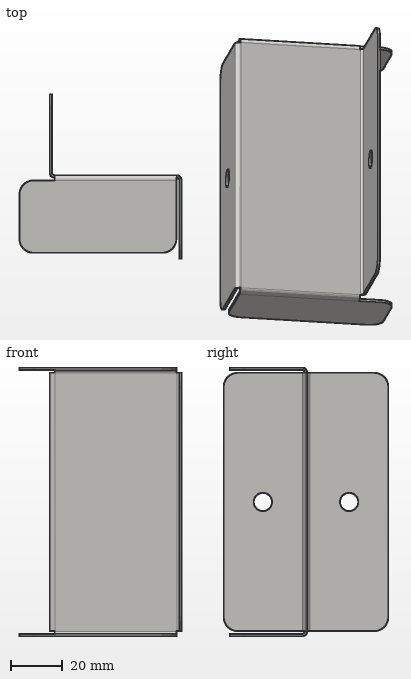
import cadquery as cq

sheet = 1.0
inner_radius = 1.0
outer_radius = inner_radius + sheet

overall_x = 62.8
overall_y = 63.8
overall_z = 104.0

web_width = 47.1
web_height = overall_z - 2 * outer_radius

wall_length = (overall_y - 2 * outer_radius + sheet) / 2
hole_diameter = 7.0

flap_length = overall_x - outer_radius
flap_depth = 28.1

corner_radius = 5.5


def make_bend(origin, x_direction, axis, length):
    """Quarter-ring bend centred on origin, extruded along its axis."""
    plane = cq.Plane(origin=origin, xDir=x_direction, normal=axis)
    return (
        cq.Workplane(plane)
        .moveTo(inner_radius, 0)
        .lineTo(outer_radius, 0)
        .radiusArc((0, outer_radius), -outer_radius)
        .lineTo(0, inner_radius)
        .radiusArc((inner_radius, 0), inner_radius)
        .close()
        .extrude(length)
    )


def make_web():
    return cq.Workplane("XY").box(web_width, sheet, web_height).translate((web_width / 2, -sheet / 2, 0))


def make_right_wall():
    """Forward-folded wall with its bend, rounded free corners and central hole."""
    bend = make_bend((web_width, -outer_radius, -web_height / 2), (1, 0, 0), (0, 0, 1), web_height)
    wall = (
        cq.Workplane("XY")
        .box(sheet, wall_length, web_height)
        .edges("|X and <Y")
        .fillet(corner_radius)
        .faces(">X")
        .workplane(origin=(0, 0, 0))
        .hole(hole_diameter)
        .translate((web_width + outer_radius - sheet / 2, -outer_radius - wall_length / 2, 0))
    )
    return bend.union(wall)


def make_top_flap():
    """Forward-folded flap with its bend and three rounded corners."""
    bend_origin = (0, -outer_radius, web_height / 2)
    bend = make_bend(bend_origin, (0, 1, 0), (1, 0, 0), web_width)
    flap = (
        cq.Workplane("XY")
        .box(flap_length, flap_depth, sheet)
        .edges("|Z and (<X or <Y)")
        .fillet(corner_radius)
        .translate((web_width - flap_length / 2, -outer_radius - flap_depth / 2, (overall_z - sheet) / 2))
    )
    return bend.union(flap)


web = make_web()
right_wall = make_right_wall()
web_centre = (web_width / 2, -sheet / 2)
left_wall = right_wall.rotate((*web_centre, 0), (*web_centre, 1), 180)
top_flap = make_top_flap()
bottom_flap = top_flap.mirror("XY")

result = web.union(right_wall).union(left_wall).union(top_flap).union(bottom_flap)